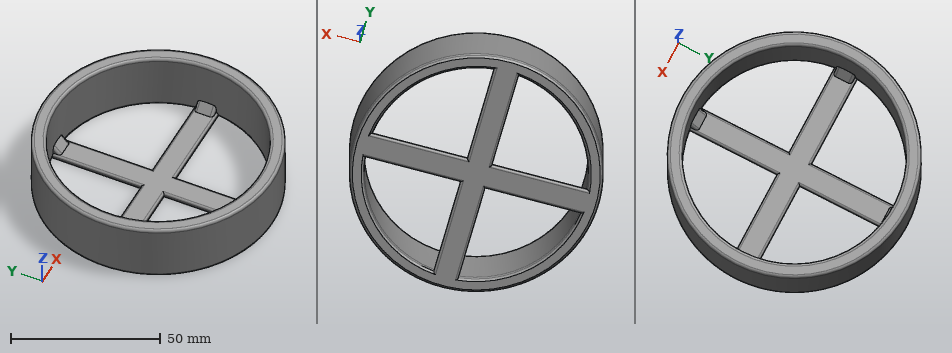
import cadquery as cq

outer_diameter = 85.0
inner_diameter = 75.0
ring_height = 22.0
edge_radius = 1.0
bottom_chamfer = 1.0
chamfer_blend_radius = 1.0
inner_radius = inner_diameter / 2

bar_width = 8.5
bar_thickness = 2.0
bar_edge_radius = 0.8

gusset_size = 3.0
gusset_width = 7.05
gusset_edge_radius = 1.0
wall_overlap = 1.7
gusset_sink = 0.85


def make_ring():
    """Hollow ring with rounded top edges and blended chamfers below."""
    ring = (
        cq.Workplane("XY")
        .circle(outer_diameter / 2)
        .circle(inner_radius)
        .extrude(ring_height)
    )
    ring = ring.faces(">Z").edges().fillet(edge_radius)
    ring = ring.faces("<Z").edges().chamfer(bottom_chamfer)
    wall_edges = cq.selectors.BoxSelector(
        (-outer_diameter, -outer_diameter, bottom_chamfer / 2),
        (outer_diameter, outer_diameter, ring_height / 2),
        boundingbox=True,
    )
    return ring.edges(wall_edges).fillet(chamfer_blend_radius)


def make_cross():
    """Two crossing bars with rounded edges, ending inside the ring wall."""
    bar_length = inner_diameter + 2 * wall_overlap
    bar = cq.Workplane("XY").rect(bar_length, bar_width).extrude(bar_thickness)
    cross = bar.union(bar.rotate((0, 0, 0), (0, 0, 1), 90))
    long_edges = cross.faces("<Z or >Z").edges()
    end_edges = cross.faces("<X or >X or <Y or >Y").edges()
    return cross.newObject(
        [edge for edge in long_edges.vals() if edge not in end_edges.vals()]
    ).fillet(bar_edge_radius)


def make_gusset():
    """45 degree wedge with rounded slope edges at the +X end of a bar."""
    start = inner_radius - gusset_size - gusset_sink
    rise = gusset_size + gusset_sink + wall_overlap
    wedge = (
        cq.Workplane("XZ")
        .moveTo(start, bar_thickness - gusset_sink)
        .line(rise, rise)
        .line(0, -rise)
        .close()
        .extrude(gusset_width / 2, both=True)
    )
    slope_edges = wedge.faces("<X").edges("not |Y")
    return slope_edges.fillet(gusset_edge_radius)


result = make_ring().union(make_cross())
gusset = make_gusset()
for angle in (0, 90, 180, 270):
    result = result.union(gusset.rotate((0, 0, 0), (0, 0, 1), angle))